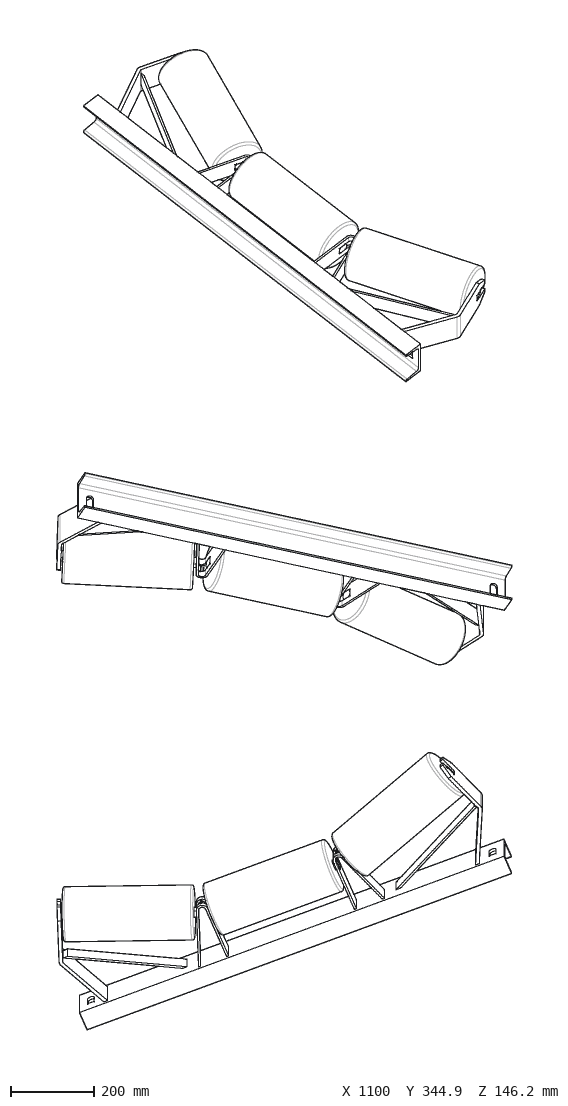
import cadquery as cq
import math


beam_length = 1100.0
beam_depth = 100.0
flange_width = 50.0
web_thickness = 7.0
flange_toe = 7.0
flange_root = 10.0
root_radius = 8.0
toe_radius = 4.0
beam_slot_x = 520.0
beam_slot_reach = 16.0
beam_slot_width = 18.0

roller_length = 315.0
roller_diameter = 133.0
roller_edge_radius = 5.0
shaft_diameter = 25.0
shaft_flat_width = 20.0

middle_roller_y = 117.0
middle_roller_z = -14.0
wing_x = 349.0
wing_y = 180.0
wing_z = -8.0
wing_angle = 20.0
wing_tilt = 2.5

end_gap = 5.0
outer_height = 80.0
outer_thickness = 9.0
outer_bend_y = 133.0
outer_bend_radius = 15.0
outer_foot_angle = 25.0
outer_tip = 30.0
tip_chamfer = 18.0
slot_reach = 55.0
inner_height = 51.0
inner_thickness = 5.0
inner_bend_radius = 14.0

brace_thickness = 5.0
brace_angle = 27.5
brace_foot_x = 271.0
brace_height = 44.0
brace_z = 8.0

plate_station = roller_length / 2 + end_gap
shaft_length = 2 * (plate_station + inner_thickness)
wing_cos = math.cos(math.radians(wing_angle))
wing_sin = math.sin(math.radians(wing_angle))
wing_tan = wing_sin / wing_cos

middle_plane = cq.Plane(
    origin=(0, middle_roller_y, middle_roller_z), xDir=(0, 1, 0), normal=(1, 0, 0)
)
tilt_cos = math.cos(math.radians(wing_tilt))
tilt_sin = math.sin(math.radians(wing_tilt))
wing_plane = cq.Plane(
    origin=(-wing_x, wing_y, wing_z),
    xDir=(wing_sin, wing_cos, 0),
    normal=(wing_cos * tilt_cos, -wing_sin * tilt_cos, -tilt_sin),
)


def wing_point(along, across):
    """XY point at a distance along the left wing axis and across it, away from the channel."""
    x = -wing_x + along * wing_cos + across * wing_sin
    y = wing_y - along * wing_sin + across * wing_cos
    return (x, y)


def extrude_plate(outline, height, middle_z=0):
    """Plate with the given XY outline, as tall as height and centred on middle_z."""
    return outline.extrude(height).translate((0, 0, middle_z - height / 2))


def make_beam():
    """Channel with tapered flanges, rounded roots and toes, and a slot near each end."""
    half = beam_depth / 2
    section = [
        (0, -half),
        (-flange_width, -half),
        (-flange_width, -half + flange_toe),
        (-web_thickness, -half + flange_root),
        (-web_thickness, half - flange_root),
        (-flange_width, half - flange_toe),
        (-flange_width, half),
        (0, half),
    ]
    beam = cq.Workplane("YZ").polyline(section).close().extrude(beam_length / 2, both=True)
    for side in (-1, 1):
        root = cq.selectors.NearestToPointSelector((0, -web_thickness, side * (half - flange_root)))
        beam = beam.edges(root).fillet(root_radius)
        toe = cq.selectors.NearestToPointSelector((0, -flange_width, side * (half - flange_toe)))
        beam = beam.edges(toe).fillet(toe_radius)
    slot_half_width = beam_slot_width / 2
    slot_shoulder_z = beam_slot_reach - slot_half_width
    for slot_x in (-beam_slot_x, beam_slot_x):
        slot = (
            cq.Workplane("XZ")
            .moveTo(slot_x - slot_half_width, -beam_slot_reach)
            .lineTo(slot_x + slot_half_width, -beam_slot_reach)
            .lineTo(slot_x + slot_half_width, slot_shoulder_z)
            .threePointArc((slot_x, beam_slot_reach), (slot_x - slot_half_width, slot_shoulder_z))
            .close()
            .extrude(web_thickness)
        )
        beam = beam.cut(slot)
    return beam


def make_roller(plane):
    """Barrel with rounded rims and a shaft with two flats, centred on the plane's origin."""
    barrel_end = cq.Workplane(plane).workplane(offset=-roller_length / 2)
    barrel = barrel_end.circle(roller_diameter / 2).extrude(roller_length)
    barrel = barrel.edges("%CIRCLE").fillet(roller_edge_radius)
    shaft_end = cq.Workplane(plane).workplane(offset=-shaft_length / 2)
    shaft = shaft_end.circle(shaft_diameter / 2).extrude(shaft_length)
    flats = shaft_end.rect(shaft_diameter, shaft_flat_width).extrude(shaft_length)
    return barrel.union(shaft.intersect(flats))


def make_shaft_slot(plane, start, depth):
    """Cutter for the open slot that a shaft drops into, from a station along the roller axis."""
    seat = shaft_diameter / 2
    return (
        cq.Workplane(plane)
        .workplane(offset=start)
        .center(slot_reach / 2 - seat, 0)
        .rect(slot_reach, shaft_flat_width)
        .extrude(depth)
    )


def make_outer_bracket():
    """Left bent plate that holds the outer end of the wing roller."""
    foot_tan = math.tan(math.radians(outer_foot_angle))
    upper_width = outer_thickness / wing_cos
    lower_width = outer_thickness / math.cos(math.radians(outer_foot_angle))

    outer_face = -plate_station - outer_thickness
    tip_outside = wing_point(outer_face, outer_tip)
    tip_inside = wing_point(-plate_station, outer_tip)
    bend_x = tip_outside[0] - (tip_outside[1] - outer_bend_y) * wing_tan
    foot_x = bend_x + outer_bend_y * foot_tan
    inside_rise = (lower_width - upper_width) / (foot_tan + wing_tan)
    inside_bend = (bend_x + upper_width + inside_rise * wing_tan, outer_bend_y + inside_rise)

    outline = cq.Workplane("XY").polyline([
        (foot_x, 0),
        (bend_x, outer_bend_y),
        tip_outside,
        tip_inside,
        inside_bend,
        (foot_x + lower_width, 0),
    ]).close()
    bracket = extrude_plate(outline, outer_height)

    outside = cq.selectors.NearestToPointSelector((bend_x, outer_bend_y, 0))
    bracket = bracket.edges(outside).fillet(outer_bend_radius)
    inside = cq.selectors.NearestToPointSelector((*inside_bend, 0))
    bracket = bracket.edges(inside).fillet(outer_bend_radius - outer_thickness)

    tip_plane = cq.Plane(
        origin=(*wing_point(outer_face, 0), 0),
        xDir=(wing_sin, wing_cos, 0),
        normal=(wing_cos, -wing_sin, 0),
    )
    half = outer_height / 2
    for side in (-1, 1):
        corner = (
            cq.Workplane(tip_plane)
            .polyline([(0, side * half), (outer_tip, side * half), (outer_tip, side * (half - tip_chamfer))])
            .close()
            .extrude(outer_thickness)
        )
        bracket = bracket.cut(corner)
    slot_depth = outer_thickness + 2 * end_gap
    return bracket.cut(make_shaft_slot(wing_plane, outer_face - end_gap, slot_depth))


def make_inner_bracket():
    """Left hairpin plate between the middle roller and the inner end of the wing roller."""
    radius = inner_bend_radius
    face_x, face_y = wing_point(plate_station, 0)
    bend_x = -plate_station - radius
    bend_y = face_y + ((bend_x - face_x) * wing_cos - radius) / wing_sin
    foot_x = face_x - face_y * wing_tan

    def hairpin(inset):
        bend = radius - inset
        outline = (
            cq.Workplane("XY")
            .moveTo(foot_x + inset / wing_cos, 0)
            .lineTo(bend_x - bend * wing_cos, bend_y + bend * wing_sin)
            .threePointArc((bend_x, bend_y + bend), (bend_x + bend, bend_y))
            .lineTo(bend_x + bend, 0)
            .close()
        )
        return extrude_plate(outline, inner_height, middle_roller_z)

    bracket = hairpin(0).cut(hairpin(inner_thickness))
    slot_depth = inner_thickness + 2 * end_gap
    wing_slot = make_shaft_slot(wing_plane, plate_station - end_gap, slot_depth)
    middle_slot = make_shaft_slot(middle_plane, -plate_station + end_gap - slot_depth, slot_depth)
    return bracket.cut(wing_slot).cut(middle_slot)


def make_brace(bracket):
    """Left flat strut from the channel to the inside of the outer bracket's bend."""
    slope = math.radians(brace_angle)
    foot_width = brace_thickness / math.sin(slope)
    reach = outer_bend_y / math.tan(slope)
    outline = cq.Workplane("XY").polyline([
        (-brace_foot_x, 0),
        (-brace_foot_x - foot_width, 0),
        (-brace_foot_x - foot_width - reach, outer_bend_y),
        (-brace_foot_x - reach, outer_bend_y),
    ]).close()
    return extrude_plate(outline, brace_height, brace_z).cut(bracket)


beam = make_beam()
middle_roller = make_roller(middle_plane)
wing_roller = make_roller(wing_plane)
outer_bracket = make_outer_bracket()
inner_bracket = make_inner_bracket()
brace = make_brace(outer_bracket)

bodies = [beam.solids().val(), middle_roller.solids().val()]
for left_body in (wing_roller, outer_bracket, inner_bracket, brace):
    bodies.append(left_body.solids().val())
    bodies.append(left_body.mirror("YZ").solids().val())

result = cq.Compound.makeCompound(bodies)